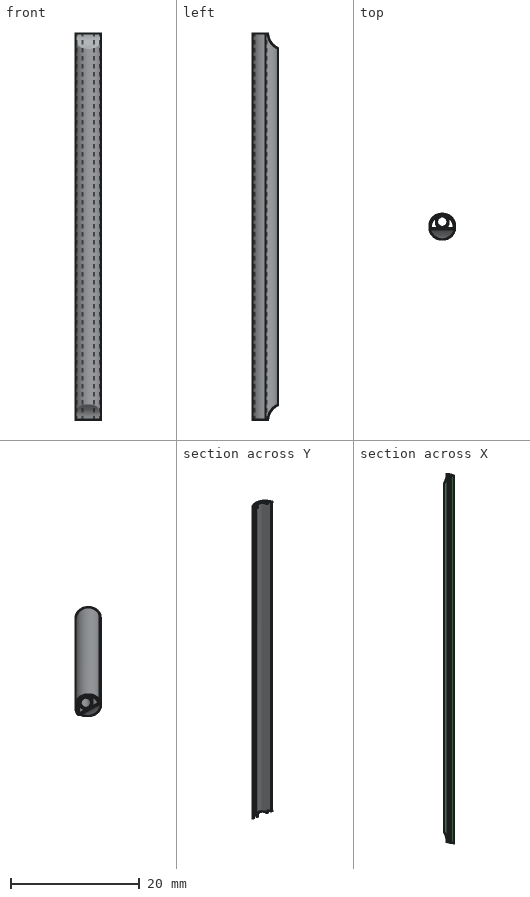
import cadquery as cq

length = 60.0
outer_radius = 2.01
shell_wall = 0.25
bore_radius = outer_radius - shell_wall

bore_floor_y = -0.25

tube_wall = 0.2
tube_radius = (bore_radius - bore_floor_y) / 2
tube_center_y = bore_floor_y + tube_radius

scoop_radius = 2.45
scoop_edge_y = -0.45
scoop_center_y = scoop_edge_y - scoop_radius
scoop_rim_fillet = 0.25


def rod(radius, center_y=0):
    """Full-length round bar centered on the XY plane."""
    return cq.Workplane("XY", origin=(0, center_y, -length / 2)).circle(radius).extrude(length)


def space_in_front_of(back_y):
    """Block that covers the part in front of the plane Y = back_y."""
    block = cq.Workplane("XY").box(2 * outer_radius, outer_radius, length)
    return block.translate((0, back_y - outer_radius / 2, 0))


def make_bore():
    """D-shaped space inside both the front body and the back shell."""
    return rod(bore_radius).cut(space_in_front_of(bore_floor_y))


def make_scoops():
    """Cutters along X, centered on the two end planes in front of the part."""
    return (
        cq.Workplane("YZ", origin=(-outer_radius, 0, 0))
        .pushPoints([(scoop_center_y, -length / 2), (scoop_center_y, length / 2)])
        .circle(scoop_radius)
        .extrude(2 * outer_radius)
    )


def make_front_body():
    """Half bar with a shallow channel along its back, scooped at both ends with rounded rims."""
    scooped_bar = rod(outer_radius).cut(make_scoops())
    rounded_bar = scooped_bar.edges("%BSPLINE").fillet(scoop_rim_fillet)
    return rounded_bar.intersect(space_in_front_of(0)).cut(make_bore())


def make_back_shell():
    """Thin half-round wall behind the XZ plane."""
    return rod(outer_radius).cut(space_in_front_of(0)).cut(make_bore())


def make_inner_tube():
    """Small tube between the channel floor of the front body and the back shell."""
    return rod(tube_radius, tube_center_y).cut(rod(tube_radius - tube_wall, tube_center_y))


front_body = make_front_body()
back_shell = make_back_shell()
inner_tube = make_inner_tube()

result = cq.Compound.makeCompound([front_body.val(), back_shell.val(), inner_tube.val()])